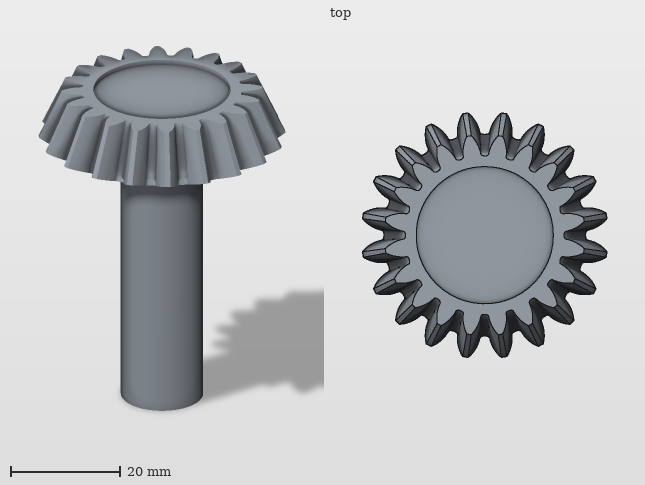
import cadquery as cq
import math

SHAFT_DIAMETER = 15.1
SHAFT_LENGTH = 50.0
HEAD_HEIGHT = 11.55
TOTAL_HEIGHT = SHAFT_LENGTH + HEAD_HEIGHT

RECESS_DIAMETER = 25.1
RECESS_DEPTH = 1.0

TOOTH_COUNT = 20
TOOTH_PITCH = 360.0 / TOOTH_COUNT
RIM_RADIUS = 22.575
RIM_DROP = 9.05
BACK_CONE_BASE_RADIUS = 16.5

TIP_RADIUS = 18.36
FLANK_MIDDLE_RADIUS = 16.8
FLANK_FOOT_RADIUS = 15.1
ROOT_RADIUS = 14.5
TIP_HALF_ANGLE = 1.3
FLANK_MIDDLE_HALF_ANGLE = 4.3
FLANK_FOOT_HALF_ANGLE = 6.15
CORNER_RADIUS = 14.6
CORNER_HALF_ANGLE = 7.1

APEX_ABOVE_TOP = RIM_DROP * TIP_RADIUS / (RIM_RADIUS - TIP_RADIUS)
UNDERSIDE_SCALE = (APEX_ABOVE_TOP + HEAD_HEIGHT) / APEX_ABOVE_TOP


def polar(radius, degrees):
    angle = math.radians(degrees)
    return (radius * math.cos(angle), radius * math.sin(angle))


def gear_section(height, scale):
    """Closed outline of all teeth at the given height, enlarged by scale."""

    def at(radius, degrees):
        return polar(scale * radius, degrees)

    first_tooth = TOOTH_PITCH / 2
    outline = cq.Workplane("XY", origin=(0, 0, height))
    outline = outline.moveTo(*at(FLANK_FOOT_RADIUS, first_tooth - FLANK_FOOT_HALF_ANGLE))
    for index in range(TOOTH_COUNT):
        middle = first_tooth + index * TOOTH_PITCH
        next_middle = middle + TOOTH_PITCH
        rounded_root = [
            at(CORNER_RADIUS, middle + CORNER_HALF_ANGLE),
            at(ROOT_RADIUS, middle + TOOTH_PITCH / 2),
            at(CORNER_RADIUS, next_middle - CORNER_HALF_ANGLE),
            at(FLANK_FOOT_RADIUS, next_middle - FLANK_FOOT_HALF_ANGLE),
        ]
        outline = (
            outline
            .threePointArc(
                at(FLANK_MIDDLE_RADIUS, middle - FLANK_MIDDLE_HALF_ANGLE),
                at(TIP_RADIUS, middle - TIP_HALF_ANGLE),
            )
            .threePointArc(at(TIP_RADIUS, middle), at(TIP_RADIUS, middle + TIP_HALF_ANGLE))
            .threePointArc(
                at(FLANK_MIDDLE_RADIUS, middle + FLANK_MIDDLE_HALF_ANGLE),
                at(FLANK_FOOT_RADIUS, middle + FLANK_FOOT_HALF_ANGLE),
            )
            .spline(rounded_root, includeCurrent=True)
        )
    return outline.close().val()


def conical_teeth():
    """Toothed body that tapers toward the apex, with flat ends."""
    underside = gear_section(SHAFT_LENGTH, UNDERSIDE_SCALE)
    top = gear_section(TOTAL_HEIGHT, 1.0)
    return cq.Workplane(cq.Solid.makeLoft([underside, top], True))


def back_cone_envelope():
    """Turned envelope whose lower cone trims the large end of the teeth."""
    cone_slope = (HEAD_HEIGHT - RIM_DROP) / (RIM_RADIUS - BACK_CONE_BASE_RADIUS)
    envelope_radius = RIM_RADIUS * UNDERSIDE_SCALE
    envelope_edge = SHAFT_LENGTH + cone_slope * (envelope_radius - BACK_CONE_BASE_RADIUS)
    half_section = [
        (0, SHAFT_LENGTH),
        (BACK_CONE_BASE_RADIUS, SHAFT_LENGTH),
        (envelope_radius, envelope_edge),
        (envelope_radius, TOTAL_HEIGHT),
        (0, TOTAL_HEIGHT),
    ]
    return cq.Workplane("XZ").polyline(half_section).close().revolve(360, (0, 0), (0, 1))


def shaft():
    return cq.Workplane("XY").circle(SHAFT_DIAMETER / 2).extrude(SHAFT_LENGTH)


def top_recess():
    floor = cq.Workplane("XY", origin=(0, 0, TOTAL_HEIGHT - RECESS_DEPTH))
    return floor.circle(RECESS_DIAMETER / 2).extrude(RECESS_DEPTH)


gear_head = conical_teeth().intersect(back_cone_envelope())
result = gear_head.union(shaft()).cut(top_recess())